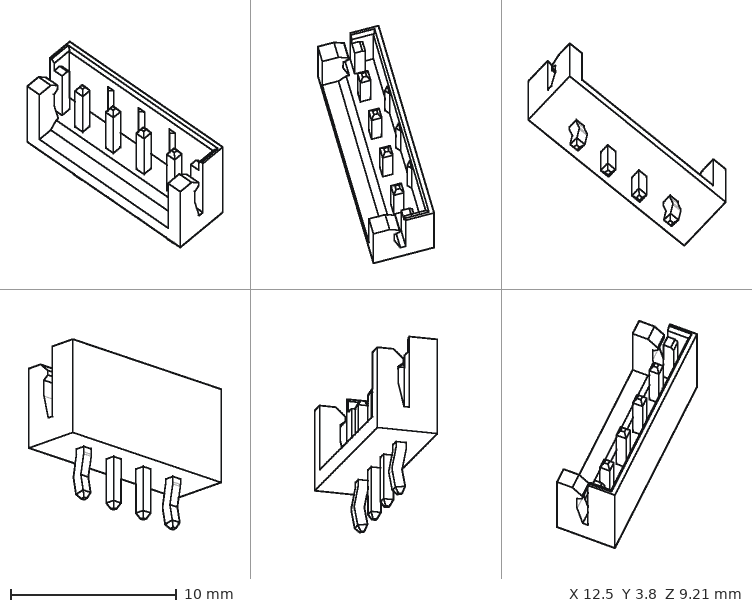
import cadquery as cq
import math


pin_pitch = 2.5
pin_count = 4
pin_width = 0.64
pin_half = pin_width / 2
pin_top = 5.11
top_tip_length = 0.35
pin_tail = 3.2
tail_tip_length = 0.38
tip_width = 0.25
pin_xs = [(i - (pin_count - 1) / 2) * pin_pitch for i in range(pin_count)]

kink_angle = math.radians(11.0)
kink_depth = 0.34
upper_leg = 1.3
lower_leg = 1.06
kinked_tip_length = 0.35

length = 12.5
depth = 3.8
height = 6.0
floor_top = 1.5
back_y = 1.6
front_y = back_y - depth

back_wall = 0.42
side_wall = 0.36
side_wall_depth = 1.78
back_bevel_width = 0.14
back_bevel_depth = 0.3
side_bevel_width = 0.22
side_bevel_depth = 0.21

slot_back_y = back_y - side_wall_depth
slot_floor_width = 0.34

arm_width = 1.0
arm_top = 5.11
arm_thickness = 1.31
arm_taper_top = 3.0
hook_reach = 0.34
hook_root = 4.01
hook_low = 4.26
hook_high = 4.55
arm_top_thickness = 1.01
sill_drop = 0.49

corner_rib_depth = 0.68
corner_rib_chamfer = 0.19
key_rib_width = 0.5
key_rib_depth = 0.22
key_rib_top = 4.92

cavity_half = length / 2 - side_wall
cavity_back_y = back_y - back_wall
gap_half = length / 2 - arm_width
arm_inner_y = front_y + arm_thickness


def extrude_along_x(outline, x_start, x_end):
    """Extrude a closed list of (y, z) points from x_start to x_end."""
    plane = cq.Workplane("YZ", origin=(x_start, 0, 0))
    return plane.polyline(outline).close().extrude(x_end - x_start)


def box_between(low, high):
    """Axis-aligned box from its lowest to its highest corner."""
    size = [b - a for a, b in zip(low, high)]
    return cq.Workplane("XY", origin=low).box(*size, centered=False)


def housing_blank():
    """Side outline with the latch slot, over the full length."""
    outline = [
        (back_y, 0),
        (back_y, height),
        (slot_back_y, height),
        (slot_back_y, floor_top),
        (slot_back_y - slot_floor_width, floor_top),
        (arm_inner_y, arm_taper_top),
        (arm_inner_y, hook_root),
        (arm_inner_y + hook_reach, hook_low),
        (arm_inner_y + hook_reach, hook_high),
        (front_y + arm_top_thickness, arm_top),
        (front_y, arm_top),
        (front_y, 0),
    ]
    return extrude_along_x(outline, -length / 2, length / 2)


def cavity():
    """Space between the back and side walls, its top edges bevelled as a lead-in."""
    back_outline = [
        (slot_back_y, floor_top),
        (cavity_back_y, floor_top),
        (cavity_back_y, height - back_bevel_depth),
        (cavity_back_y + back_bevel_width, height),
        (slot_back_y, height),
    ]
    mouth_half = cavity_half + side_bevel_width
    side_outline = [
        (-cavity_half, floor_top),
        (cavity_half, floor_top),
        (cavity_half, height - side_bevel_depth),
        (mouth_half, height),
        (-mouth_half, height),
        (-cavity_half, height - side_bevel_depth),
    ]
    within_back = extrude_along_x(back_outline, -mouth_half, mouth_half)
    within_sides = cq.Workplane("XZ", origin=(0, back_y, 0)).polyline(side_outline).close().extrude(depth)
    return within_back.intersect(within_sides)


def front_gap():
    """Opening between the latch arms, with a sloped step down to the front sill."""
    step_y = front_y + arm_top_thickness
    outline = [
        (slot_back_y, height),
        (slot_back_y, floor_top),
        (step_y + sill_drop, floor_top),
        (step_y, floor_top - sill_drop),
        (front_y, floor_top - sill_drop),
        (front_y, height),
    ]
    return extrude_along_x(outline, -gap_half, gap_half)


def corner_rib(side):
    """Rib inside one side wall, flush with the wall's end; side is -1 or 1."""
    rib_back_y = slot_back_y + corner_rib_depth
    outline = [
        (slot_back_y, floor_top),
        (slot_back_y, arm_top),
        (rib_back_y - corner_rib_chamfer, arm_top),
        (rib_back_y, arm_top - corner_rib_chamfer),
        (rib_back_y, floor_top),
    ]
    x_start, x_end = sorted((side * gap_half, side * cavity_half))
    return extrude_along_x(outline, x_start, x_end)


def key_rib(x):
    """Triangular rib standing on the back wall, midway between two pins."""
    outline = [
        (x - key_rib_width / 2, cavity_back_y),
        (x, cavity_back_y - key_rib_depth),
        (x + key_rib_width / 2, cavity_back_y),
    ]
    plane = cq.Workplane("XY", origin=(0, 0, floor_top))
    return plane.polyline(outline).close().extrude(key_rib_top - floor_top)


def pin_hole(x):
    return box_between((x - pin_half, -pin_half, 0), (x + pin_half, pin_half, floor_top))


def make_housing():
    body = housing_blank().cut(cavity()).cut(front_gap())
    for side in (-1, 1):
        body = body.union(corner_rib(side))
    for left_x, right_x in zip(pin_xs, pin_xs[1:]):
        body = body.union(key_rib((left_x + right_x) / 2))
    for x in pin_xs:
        body = body.cut(pin_hole(x))
    return body


def pin_tip(base, direction, tip_length):
    """Tapered square tip growing from base along direction."""
    plane = cq.Plane(origin=base, xDir=(1, 0, 0), normal=direction)
    return (
        cq.Workplane(plane)
        .rect(pin_width, pin_width)
        .workplane(offset=tip_length)
        .rect(tip_width, tip_width)
        .loft(ruled=True)
    )


def pin_shaft(x, bottom):
    """Square shaft from bottom up, with its upper tip."""
    shoulder = pin_top - top_tip_length
    shaft = box_between((x - pin_half, -pin_half, bottom), (x + pin_half, pin_half, shoulder))
    return shaft.union(pin_tip((x, 0, shoulder), (0, 0, 1), top_tip_length))


def straight_pin(x):
    shoulder = tail_tip_length - pin_tail
    return pin_shaft(x, shoulder).union(pin_tip((x, 0, shoulder), (0, 0, -1), tail_tip_length))


def polar(centre, radius, angle):
    """(y, z) point at radius from centre, angle measured from +Y towards +Z."""
    return (centre[0] + radius * math.cos(angle), centre[1] + radius * math.sin(angle))


def kinked_pin(x):
    """Pin whose tail leans forward, then back; each bend turns about its inner corner."""
    lean_forward = -math.pi / 2 - kink_angle
    lean_back = -math.pi / 2 + kink_angle

    upper_bend = (-pin_half, -kink_depth)
    upper_back = polar(upper_bend, pin_width, -kink_angle)
    lower_bend = polar(upper_back, upper_leg, lean_forward)
    lower_front = polar(lower_bend, pin_width, math.pi + kink_angle)
    shoulder_front = polar(lower_front, lower_leg, lean_back)
    shoulder_back = polar(lower_bend, lower_leg, lean_back)

    tail = (
        cq.Workplane("YZ", origin=(x - pin_half, 0, 0))
        .moveTo(-pin_half, 0)
        .lineTo(*upper_bend)
        .lineTo(*polar(lower_bend, pin_width, math.pi - kink_angle))
        .threePointArc(polar(lower_bend, pin_width, math.pi), lower_front)
        .lineTo(*shoulder_front)
        .lineTo(*shoulder_back)
        .lineTo(*lower_bend)
        .lineTo(*upper_back)
        .threePointArc(polar(upper_bend, pin_width, -kink_angle / 2), (pin_half, -kink_depth))
        .lineTo(pin_half, 0)
        .close()
        .extrude(pin_width)
    )

    tip_y = (shoulder_front[0] + shoulder_back[0]) / 2
    tip_z = (shoulder_front[1] + shoulder_back[1]) / 2
    tip_direction = (0, math.cos(lean_back), math.sin(lean_back))
    tip = pin_tip((x, tip_y, tip_z), tip_direction, kinked_tip_length)
    return pin_shaft(x, 0).union(tail).union(tip)


housing = make_housing()
straight_pins = [straight_pin(x) for x in pin_xs[1:-1]]
kinked_pins = [kinked_pin(x) for x in (pin_xs[0], pin_xs[-1])]

result = cq.Compound.makeCompound([housing.val(), *[pin.val() for pin in straight_pins + kinked_pins]])